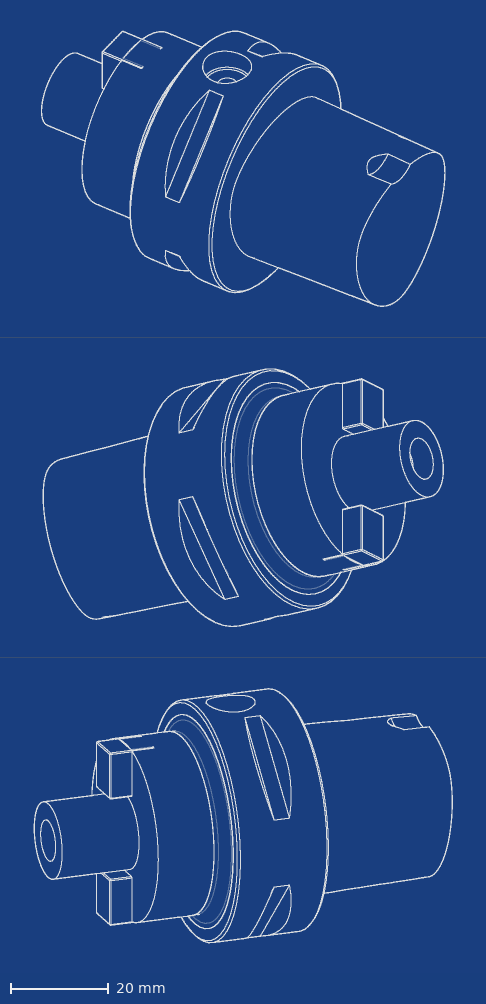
import cadquery as cq
import math

total_length = 82
pilot_diameter = 16.0
pilot_length = 16.8
pilot_bore_diameter = 8.5
pilot_bore_depth = 4.9

body_diameter = 38.0
body_end = 29.0
relief_diameter = 37.8

flange_diameter = 50
flange_start = 32
flange_end = 51.9
flange_chamfer = 0.5
flange_middle = (flange_start + flange_end) / 2
fillet_radius = 2.05
face_recess_diameter = 44.1
face_recess_depth = 0.1
relief_end = flange_start + face_recess_depth - fillet_radius

shank_base_radius = 17.6
shank_end_radius = 16.8
lobe_height = 1.15
lobe_count = 3
outline_points = 48

key_width = 8.0
key_start = 12.0
key_end = 21.65
key_inner = 8.7
key_outer = 18.7
key_chamfer = 0.25

groove_count = 4
groove_floor_distance = 22.05
groove_floor_width = 3.4
groove_side_angle = 30

radial_hole_x = 39.9
radial_hole_diameter = 10.0
radial_hole_floor = 20.0
radial_hole_floor_chamfer = 0.3
center_drill_diameter = 4.0
drill_tip_half_angle = 59

notch_width = 7.3
notch_depth = 1.2
notch_edge_height = 15.4
notch_length = 5.5
notch_ramp_angle = 40


def turned_body():
    """Pilot, body and flange as one revolved profile."""
    flange_radius = flange_diameter / 2
    relief_radius = relief_diameter / 2
    recess_radius = face_recess_diameter / 2
    recess_floor = flange_start + face_recess_depth
    fillet_drop = fillet_radius * (1 - math.cos(math.pi / 4))
    profile = (
        cq.Workplane("XY")
        .lineTo(0, pilot_diameter / 2)
        .lineTo(pilot_length, pilot_diameter / 2)
        .lineTo(pilot_length, body_diameter / 2)
        .lineTo(body_end, body_diameter / 2)
        .lineTo(body_end, relief_radius)
        .lineTo(relief_end, relief_radius)
        .threePointArc(
            (relief_end + fillet_radius * math.sin(math.pi / 4), relief_radius + fillet_drop),
            (recess_floor, relief_radius + fillet_radius),
        )
        .lineTo(recess_floor, recess_radius)
        .lineTo(flange_start, recess_radius)
        .lineTo(flange_start, flange_radius - flange_chamfer)
        .lineTo(flange_start + flange_chamfer, flange_radius)
        .lineTo(flange_end - flange_chamfer, flange_radius)
        .lineTo(flange_end, flange_radius - flange_chamfer)
        .lineTo(flange_end, 0)
        .close()
    )
    return profile.revolve(360, (0, 0, 0), (1, 0, 0))


def lobed_outline(mean_radius):
    """Points (Y, Z) of a convex outline whose tangent distance is mean + lobe * sin(3 * angle)."""
    points = []
    for index in range(outline_points):
        angle = 2 * math.pi * index / outline_points
        distance = mean_radius + lobe_height * math.sin(lobe_count * angle)
        slope = lobe_count * lobe_height * math.cos(lobe_count * angle)
        y = distance * math.cos(angle) - slope * math.sin(angle)
        z = distance * math.sin(angle) + slope * math.cos(angle)
        points.append((y, z))
    return points


def tapered_shank():
    return (
        cq.Workplane("YZ", origin=(flange_end, 0, 0))
        .spline(lobed_outline(shank_base_radius), periodic=True)
        .close()
        .workplane(offset=total_length - flange_end)
        .spline(lobed_outline(shank_end_radius), periodic=True)
        .close()
        .loft(ruled=True)
    )


def drive_key():
    """Chamfered block on the +Z side, sunk into the body."""
    return (
        cq.Workplane("XY", origin=(key_start, 0, key_inner))
        .box(key_end - key_start, key_width, key_outer - key_inner, centered=(False, True, False))
        .edges("<X or |X")
        .chamfer(key_chamfer)
    )


def gripper_groove():
    """Trapezoidal groove across the +Z side of the rim."""
    depth = flange_diameter / 2 - groove_floor_distance
    half_floor = groove_floor_width / 2
    half_mouth = half_floor + depth * math.tan(math.radians(groove_side_angle))
    rim = flange_diameter / 2
    return (
        cq.Workplane("XZ")
        .polyline(
            [
                (flange_middle - half_floor, groove_floor_distance),
                (flange_middle + half_floor, groove_floor_distance),
                (flange_middle + half_mouth, rim),
                (flange_middle - half_mouth, rim),
            ]
        )
        .close()
        .extrude(rim, both=True)
    )


def radial_hole():
    """Flat-bottomed hole with a conical center mark and a chamfered floor edge."""
    radius = radial_hole_diameter / 2
    rim = flange_diameter / 2
    tip_length = center_drill_diameter / 2 / math.tan(math.radians(drill_tip_half_angle))
    tip = radial_hole_floor - tip_length
    return (
        cq.Workplane("XZ")
        .moveTo(0, tip)
        .lineTo(center_drill_diameter / 2, radial_hole_floor)
        .lineTo(radius - radial_hole_floor_chamfer, radial_hole_floor)
        .lineTo(radius, radial_hole_floor + radial_hole_floor_chamfer)
        .lineTo(radius, rim)
        .lineTo(0, rim)
        .close()
        .revolve(360, (0, 0, 0), (0, 1, 0))
        .translate((radial_hole_x, 0, 0))
    )


def shank_notch():
    radius = ((notch_width / 2) ** 2 + notch_depth**2) / (2 * notch_depth)
    axis_height = notch_edge_height - notch_depth + radius
    ramp_start = total_length - notch_length
    cone_length = radius / math.tan(math.radians(notch_ramp_angle))
    return (
        cq.Workplane("XY")
        .moveTo(ramp_start - cone_length, 0)
        .lineTo(ramp_start, radius)
        .lineTo(total_length, radius)
        .lineTo(total_length, 0)
        .close()
        .revolve(360, (0, 0, 0), (1, 0, 0))
        .translate((0, 0, axis_height))
    )


result = turned_body().union(tapered_shank())

pilot_bore = cq.Workplane("YZ").circle(pilot_bore_diameter / 2).extrude(pilot_bore_depth)
result = result.cut(pilot_bore)

key = drive_key()
for turn in (0, 180):
    result = result.union(key.rotate((0, 0, 0), (1, 0, 0), turn))

for index in range(groove_count):
    turn = (index + 0.5) * 360 / groove_count
    result = result.cut(gripper_groove().rotate((0, 0, 0), (1, 0, 0), turn))

result = result.cut(radial_hole()).cut(shank_notch())